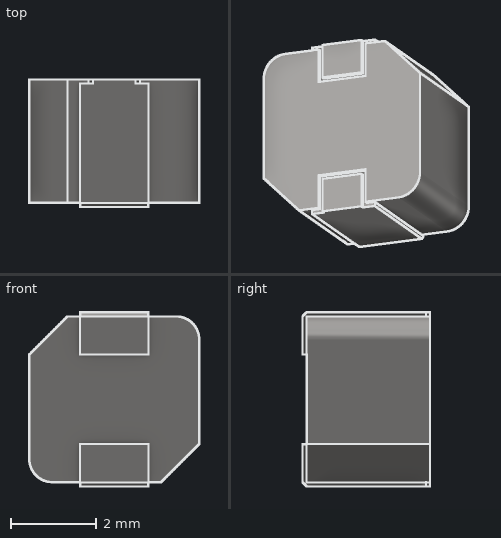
import cadquery as cq

overall_depth = 3.0
body_width = 4.0
body_height = 3.9
corner_chamfer = 0.9
corner_radius = 0.55

strap_thickness = 0.1
strap_width = 1.6
pad_length = 0.9
tongue_width = 1.0
tongue_drop = 0.7

notch_clearance = 0.1
notch_width = tongue_width + 2 * notch_clearance
notch_height = tongue_drop + notch_clearance

front_y = -overall_depth / 2
body_front_y = front_y + strap_thickness
back_y = overall_depth / 2
shoulder_y = back_y - strap_thickness
body_top_z = body_height / 2
strap_top_z = body_top_z + strap_thickness


def box_between(x_size, y_min, y_max, z_min, z_max):
    """Box centred on X that spans the given Y and Z ranges."""
    return (
        cq.Workplane("XY")
        .box(x_size, y_max - y_min, z_max - z_min, centered=(True, False, False))
        .translate((0, y_min, z_min))
    )


def mirror_down(shape):
    """The same shape on the bottom of the part."""
    return shape.mirror("XY")


def make_body():
    """Block with two chamfered and two rounded corners, alternating by diagonal."""
    half_width = body_width / 2
    half_height = body_height / 2
    block = box_between(body_width, body_front_y, back_y, -half_height, half_height)
    middle_y = (body_front_y + back_y) / 2

    def corner_edge(x_side, z_side):
        middle = (x_side * half_width, middle_y, z_side * half_height)
        return cq.selectors.NearestToPointSelector(middle)

    chamfered = corner_edge(-1, 1) + corner_edge(1, -1)
    rounded = corner_edge(1, 1) + corner_edge(-1, -1)
    return block.edges(chamfered).chamfer(corner_chamfer).edges(rounded).fillet(corner_radius)


def make_strap():
    """Top strap: folded over the front edge, with a narrow tongue folded down the back."""
    run = box_between(strap_width, front_y, shoulder_y, body_top_z, strap_top_z)
    pad = box_between(strap_width, front_y, body_front_y, body_top_z - pad_length, strap_top_z)
    folded = run.union(pad).edges("<Y and >Z").chamfer(strap_thickness)
    tongue = box_between(tongue_width, shoulder_y, back_y, body_top_z - tongue_drop, strap_top_z)
    return folded.union(tongue)


def make_notch():
    """Recess at the top of the body's back face that the tongue sits in."""
    return box_between(notch_width, shoulder_y, back_y, body_top_z - notch_height, body_top_z)


strap = make_strap()
notch = make_notch()

result = (
    make_body()
    .cut(notch)
    .cut(mirror_down(notch))
    .union(strap)
    .union(mirror_down(strap))
)